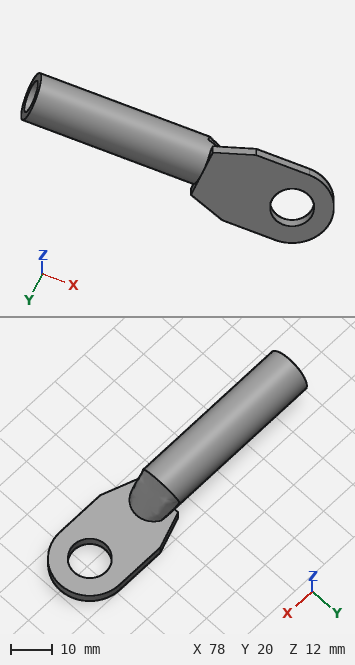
import cadquery as cq
import math


total_length = 78.0
barrel_diameter = 12.0
bore_diameter = 8.0
bore_depth = 40.0
palm_width = 20.0
palm_thickness = 2.9
palm_root_width = 13.0
palm_root_x = 44.5
palm_full_width_x = 54.2
bolt_hole_diameter = 10.5

crown_x = 45.0
flank_x = 43.5
flank_foot_x = 48.9
crown_foot_x = 52.0
cap_degree = 2
cap_stations = (0.25, 0.5, 0.75)
cap_angles = (30, 60, 90, 120, 150)

barrel_radius = barrel_diameter / 2
palm_radius = palm_width / 2
palm_centre_x = total_length - palm_radius


def make_barrel():
    """Round bar whose far end is cut by two sloping planes meeting at axis height."""
    bar = (
        cq.Workplane("YZ")
        .center(0, barrel_radius)
        .circle(barrel_radius)
        .extrude(total_length)
    )
    side_profile = (
        cq.Workplane("XZ")
        .polyline([
            (0, 0),
            (0, barrel_diameter),
            (crown_x, barrel_diameter),
            (flank_x, barrel_radius),
            (flank_foot_x, palm_thickness),
            (flank_foot_x, 0),
        ])
        .close()
        .extrude(barrel_radius, both=True)
    )
    return bar.intersect(side_profile)


def face_at(body, point):
    """Face of the body whose centre lies nearest to the point."""
    return body.faces(cq.selectors.NearestToPointSelector(point)).val()


def curved_edges(face):
    return [edge for edge in face.Edges() if edge.geomType() != "LINE"]


def between(start, end, fraction):
    return start + (end - start) * fraction


def cap_guide_points():
    """Points on half-elliptic sections spanning both flanks and the straight ridge."""
    points = []
    for station in cap_stations:
        flank_station_x = between(flank_x, flank_foot_x, station)
        flank_z = between(barrel_radius, palm_thickness, station)
        half_width = math.sqrt(barrel_radius**2 - (flank_z - barrel_radius) ** 2)
        ridge_x = between(crown_x, crown_foot_x, station)
        ridge_z = between(barrel_diameter, palm_thickness, station)
        for angle in cap_angles:
            rise = math.sin(math.radians(angle))
            points.append(cq.Vector(
                between(flank_station_x, ridge_x, rise),
                half_width * math.cos(math.radians(angle)),
                between(flank_z, ridge_z, rise),
            ))
    return points


def make_transition(barrel):
    """Smooth cap from the half-round barrel end down to a rounded foot on the palm."""
    upper_cut = face_at(
        barrel, ((crown_x + flank_x) / 2, 0, (barrel_diameter + barrel_radius) / 2)
    )
    lower_cut = face_at(
        barrel, ((flank_x + flank_foot_x) / 2, 0, (barrel_radius + palm_thickness) / 2)
    )
    foot_chord = lower_cut.edges("<Z")
    foot_arc = cq.Edge.makeThreePointArc(
        foot_chord.startPoint(),
        cq.Vector(crown_foot_x, 0, palm_thickness),
        foot_chord.endPoint(),
    )
    foot = cq.Face.makeFromWires(cq.Wire.assembleEdges([foot_chord, foot_arc]))
    borders = curved_edges(upper_cut) + curved_edges(lower_cut) + [foot_arc]
    cap = cq.Face.makeNSidedSurface(borders, cap_guide_points(), degree=cap_degree)
    shell = cq.Shell.makeShell([upper_cut, lower_cut, foot, cap])
    return cq.Workplane(cq.Solid.makeSolid(shell))


def make_palm():
    """Flat tongue, widening from its root and rounded at the tip."""
    return (
        cq.Workplane("XY")
        .moveTo(palm_root_x, -palm_root_width / 2)
        .lineTo(palm_full_width_x, -palm_radius)
        .lineTo(palm_centre_x, -palm_radius)
        .threePointArc((total_length, 0), (palm_centre_x, palm_radius))
        .lineTo(palm_full_width_x, palm_radius)
        .lineTo(palm_root_x, palm_root_width / 2)
        .close()
        .extrude(palm_thickness)
    )


def make_bore():
    return (
        cq.Workplane("YZ")
        .center(0, barrel_radius)
        .circle(bore_diameter / 2)
        .extrude(bore_depth)
    )


def make_bolt_hole():
    return (
        cq.Workplane("XY")
        .center(palm_centre_x, 0)
        .circle(bolt_hole_diameter / 2)
        .extrude(palm_thickness)
    )


barrel = make_barrel()
lug = barrel.union(make_transition(barrel)).union(make_palm())
result = lug.cut(make_bore()).cut(make_bolt_hole())